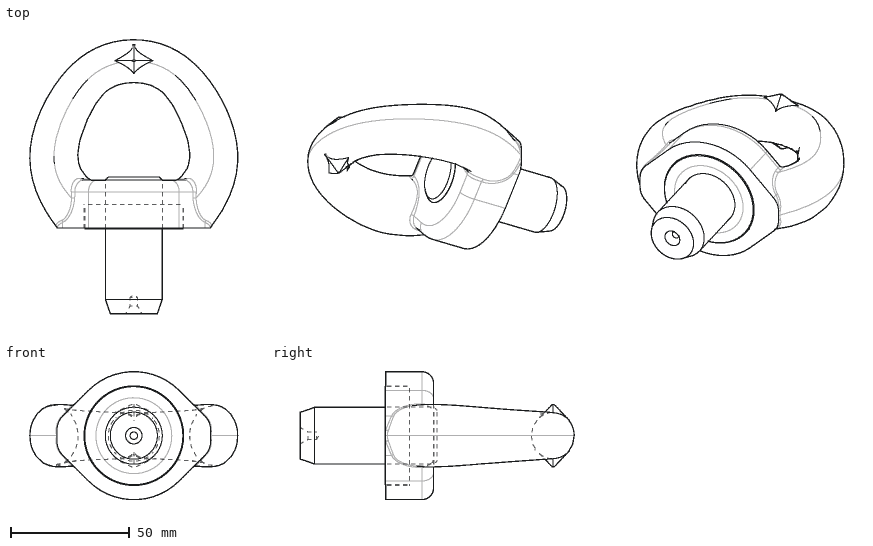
import cadquery as cq
import math


BASE_HEIGHT = 20.2
BASE_DIAMETER = 54.0
BASE_HALF_WIDTH = 32.3
BASE_CORNER_RADIUS = 8.1
BASE_TOP_FILLET = 5.0

ARM_SECTIONS = [
    (32.2, 0.1, 12.7, 18.2, 12.0),
    (40.3, 13.4, 19.5, 21.3, 13.2),
    (43.7, 27.2, 23.3, 28.3, 12.9),
    (39.7, 48.5, 20.7, 42.7, 11.5),
    (24.0, 70.6, 12.8, 56.4, 10.3),
]
CROWN_OUTER_Y = 79.4
CROWN_INNER_Y = 61.3
CROWN_HALF_THICKNESS = 9.7
ARM_ROOT_FILLET = 1.7

MARK_Y = 70.5
MARK_TIP_Z = 13.2
MARK_ROOT_Z = 6.3
MARK_HALF_LENGTH = 15.0
MARK_HALF_HEIGHT = 6.9
MARK_TIP_RATIO = 0.06

RECESS_DIAMETER = 42.0
RECESS_DEPTH = 10.0
BUSH_DIAMETER = 41.3
BUSH_PROTRUSION = 0.3
DISH_DIAMETER = 32.0
DISH_DEPTH = 0.3

STUD_DIAMETER = 24.0
STUD_LENGTH_BELOW = 36.0
STUD_PROTRUSION_ABOVE = 1.4
STUD_TOP_CHAMFER = 1.3
LEAD_LENGTH = 6.0
LEAD_END_DIAMETER = 19.8
CENTRE_DRILL_MOUTH = 6.9
CENTRE_DRILL_DIAMETER = 3.1
CENTRE_DRILL_CONE_HALF_ANGLE = math.radians(30)
CENTRE_DRILL_CONE_WIDTH = (CENTRE_DRILL_MOUTH - CENTRE_DRILL_DIAMETER) / 2
CENTRE_DRILL_CONE_DEPTH = CENTRE_DRILL_CONE_WIDTH / math.tan(CENTRE_DRILL_CONE_HALF_ANGLE)
CENTRE_DRILL_DEPTH = 6.9
DRILL_TIP_HALF_ANGLE = math.radians(59)
CENTRE_DRILL_TIP_HEIGHT = CENTRE_DRILL_DIAMETER / 2 / math.tan(DRILL_TIP_HALF_ANGLE)

TOUCH_TOLERANCE = 0.001


def cylinder_along_y(diameter, y_start, y_end):
    """Cylinder on the stud axis between two heights."""
    return cq.Workplane("XZ", origin=(0, y_start, 0)).circle(diameter / 2).extrude(y_start - y_end)


def make_base():
    """Round boss with 45 degree flanks running out to two blunt noses."""
    radius = BASE_DIAMETER / 2
    tangent = radius * math.sin(math.radians(45))
    nose_half_depth = 2 * tangent - BASE_HALF_WIDTH
    flanks = (
        cq.Workplane("XZ")
        .polyline([
            (tangent, tangent),
            (BASE_HALF_WIDTH, nose_half_depth),
            (BASE_HALF_WIDTH, -nose_half_depth),
            (tangent, -tangent),
            (-tangent, -tangent),
            (-BASE_HALF_WIDTH, -nose_half_depth),
            (-BASE_HALF_WIDTH, nose_half_depth),
            (-tangent, tangent),
        ])
        .close()
        .extrude(-BASE_HEIGHT)
        .edges("|Y and (>X or <X)")
        .fillet(BASE_CORNER_RADIUS)
    )
    boss = cylinder_along_y(BASE_DIAMETER, 0, BASE_HEIGHT)
    return flanks.union(boss).faces(">Y").edges().fillet(BASE_TOP_FILLET)


def arm_section(outer_x, outer_y, inner_x, inner_y, half_thickness):
    """Elliptical wire spanning from the outer to the inner outline of the eye."""
    outer = cq.Vector(outer_x, outer_y, 0)
    inner = cq.Vector(inner_x, inner_y, 0)
    across = outer - inner
    plane = cq.Plane(origin=(outer + inner) * 0.5, xDir=across, normal=across.cross(cq.Vector(0, 0, 1)))
    return cq.Workplane(plane).ellipse(across.Length / 2, half_thickness).wires().val()


def make_loop():
    """Both arms and the crown as one smooth loft."""
    right = [arm_section(*row) for row in ARM_SECTIONS]
    crown = arm_section(0, CROWN_OUTER_Y, 0, CROWN_INNER_Y, CROWN_HALF_THICKNESS)
    left = [arm_section(-ox, oy, -ix, iy, half) for ox, oy, ix, iy, half in reversed(ARM_SECTIONS)]
    return cq.Workplane(cq.Solid.makeLoft(right + [crown] + left))


def make_mark(side):
    """Four-sided point standing on one face of the crown (side is +1 or -1)."""
    corners = [(MARK_HALF_LENGTH, 0), (0, MARK_HALF_HEIGHT), (-MARK_HALF_LENGTH, 0), (0, -MARK_HALF_HEIGHT)]
    tip_corners = [(x * MARK_TIP_RATIO, y * MARK_TIP_RATIO) for x, y in corners]
    return (
        cq.Workplane("XY", origin=(0, MARK_Y, side * MARK_ROOT_Z))
        .polyline(corners)
        .close()
        .workplane(offset=side * (MARK_TIP_Z - MARK_ROOT_Z))
        .polyline(tip_corners)
        .close()
        .loft(combine=True)
    )


def lies_on(point, body):
    """True where the point is on the surface of the body."""
    vertex = cq.Vertex.makeVertex(*point.toTuple())
    return min(vertex.distance(face) for face in body.val().Faces()) < TOUCH_TOLERANCE


def make_ring():
    """Base and loop joined, with a fillet along the roots of the arms above the underside."""
    base = make_base()
    loop = make_loop()
    ring = base.union(loop)
    root_edges = []
    for edge in ring.edges().vals():
        middle = edge.positionAt(0.5)
        above_underside = middle.y > TOUCH_TOLERANCE
        if above_underside and lies_on(middle, base) and lies_on(middle, loop):
            root_edges.append(edge)
    return ring.newObject(root_edges).fillet(ARM_ROOT_FILLET)


def make_eye():
    """Ring with its two marks, recessed for the bush and bored for the stud."""
    eye = make_ring()
    for side in (1, -1):
        eye = eye.union(make_mark(side))
    eye = eye.cut(cylinder_along_y(RECESS_DIAMETER, 0, RECESS_DEPTH))
    return eye.cut(cylinder_along_y(STUD_DIAMETER, 0, BASE_HEIGHT))


def make_bush():
    """Ring around the stud whose lower face is slightly dished."""
    bore_radius = STUD_DIAMETER / 2
    return (
        cq.Workplane("XY")
        .moveTo(bore_radius, RECESS_DEPTH)
        .lineTo(BUSH_DIAMETER / 2, RECESS_DEPTH)
        .lineTo(BUSH_DIAMETER / 2, -BUSH_PROTRUSION)
        .lineTo(DISH_DIAMETER / 2, -BUSH_PROTRUSION)
        .lineTo(bore_radius, DISH_DEPTH - BUSH_PROTRUSION)
        .close()
        .revolve(360, (0, 0), (0, 1))
    )


def make_stud():
    """Rod through bush and eye, with a chamfered top, a tapered lead and a centre-drilled end."""
    radius = STUD_DIAMETER / 2
    top = BASE_HEIGHT + STUD_PROTRUSION_ABOVE
    bottom = -STUD_LENGTH_BELOW
    drill_radius = CENTRE_DRILL_DIAMETER / 2
    return (
        cq.Workplane("XY")
        .moveTo(0, top)
        .lineTo(radius - STUD_TOP_CHAMFER, top)
        .lineTo(radius, top - STUD_TOP_CHAMFER)
        .lineTo(radius, bottom + LEAD_LENGTH)
        .lineTo(LEAD_END_DIAMETER / 2, bottom)
        .lineTo(CENTRE_DRILL_MOUTH / 2, bottom)
        .lineTo(drill_radius, bottom + CENTRE_DRILL_CONE_DEPTH)
        .lineTo(drill_radius, bottom + CENTRE_DRILL_DEPTH)
        .lineTo(0, bottom + CENTRE_DRILL_DEPTH + CENTRE_DRILL_TIP_HEIGHT)
        .close()
        .revolve(360, (0, 0), (0, 1))
    )


eye = make_eye()
bush = make_bush()
stud = make_stud()

result = cq.Compound.makeCompound([*eye.solids().vals(), bush.val(), stud.val()])